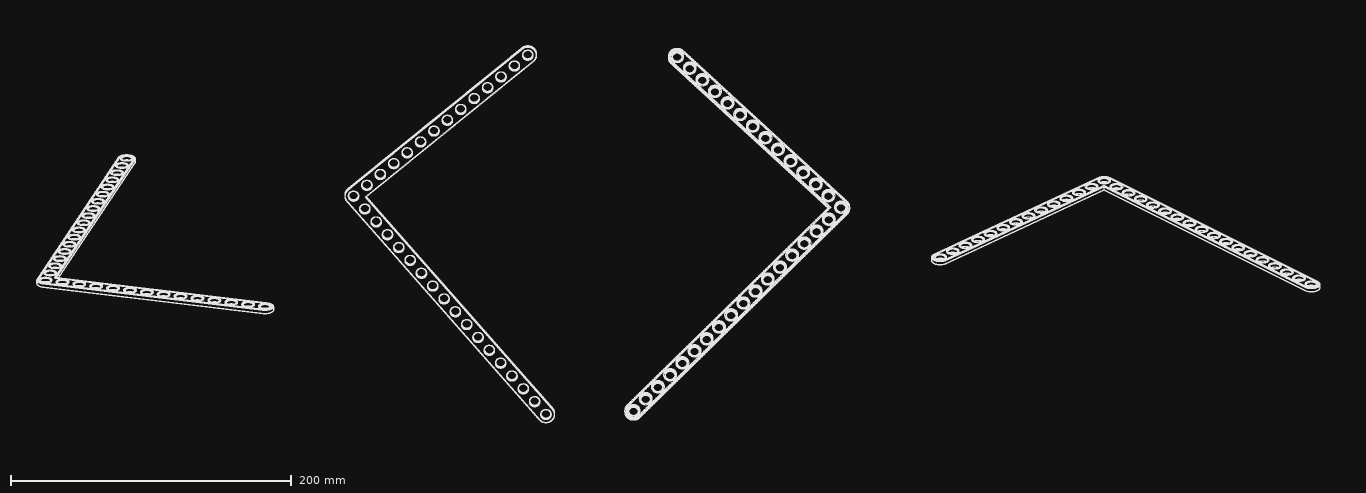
import cadquery as cq

long_arm_length = 225.0
long_arm_holes = 18
short_arm_holes = 14
thickness = 3.2
hole_diameter = 7.0
collar_diameter = 9.2
rim_width = 1.1
recess_depth = 0.2
edge_chamfer = 0.32

pitch = long_arm_length / long_arm_holes
bar_width = pitch
long_arm_span = (long_arm_holes - 1) * pitch
short_arm_span = (short_arm_holes - 1) * pitch

hole_centres = [(i * pitch, 0) for i in range(short_arm_holes)]
hole_centres += [(0, i * pitch) for i in range(1, long_arm_holes)]


def rounded_bar(span, width, height):
    """Round-ended bar along X, its end arcs centred on the origin and one span away."""
    return cq.Workplane("XY").center(span / 2, 0).slot2D(span + width, width).extrude(height)


def corner_plate(width, height):
    """Two round-ended bars meeting at the corner hole."""
    short_arm = rounded_bar(short_arm_span, width, height)
    long_arm = rounded_bar(long_arm_span, width, height).rotate((0, 0, 0), (0, 0, 1), 90)
    return short_arm.union(long_arm)


def discs(diameter, height):
    """One upright cylinder on every hole centre."""
    return cq.Workplane("XY").pushPoints(hole_centres).circle(diameter / 2).extrude(height)


perforated_plate = corner_plate(bar_width, thickness).cut(discs(hole_diameter, thickness))
perforated_plate = perforated_plate.faces("|Z").chamfer(edge_chamfer)

recess = (
    corner_plate(bar_width - 2 * rim_width, recess_depth)
    .cut(discs(collar_diameter, recess_depth))
    .translate((0, 0, thickness - recess_depth))
)

result = perforated_plate.cut(recess)